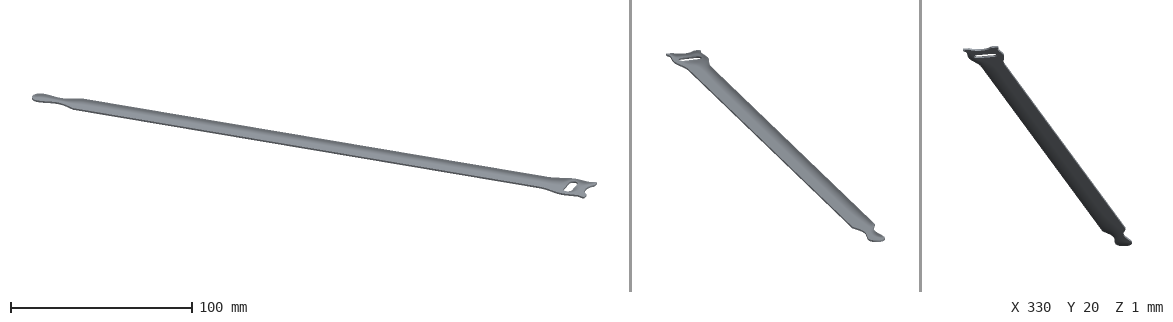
import cadquery as cq
import math

length = 330.0
thickness = 1.0
band_half_width = 6.5

tab_half_width = 4.5
neck_half_width = 3.0
neck_x = 15.5
band_start_x = 26.5

band_end_x = 302.0
head_half_width = 10.0
head_widest_x = 317.5
waist_half_width = 9.0
waist_x = 326.5
horn_inner_half_width = 6.3
horn_start_x = 328.5
end_notch_depth = 3.0

slot_x = 318.0
slot_length = 13.2
slot_width = 5.0

along_x = (1, 0)
tab_shoulder_slope = (5, 2)


def strap_half():
    """Half of the strap on the +Y side of its centre line."""
    notch_radius = (horn_inner_half_width**2 + end_notch_depth**2) / (2 * end_notch_depth)
    notch_angle = math.asin(horn_inner_half_width / notch_radius) / 2
    notch_mid = (
        length - end_notch_depth + notch_radius * (1 - math.cos(notch_angle)),
        notch_radius * math.sin(notch_angle),
    )
    arc_mid = tab_half_width * math.sin(math.pi / 4)
    return (
        cq.Workplane("XY")
        .moveTo(0, 0)
        .threePointArc((tab_half_width - arc_mid, arc_mid), (tab_half_width, tab_half_width))
        .spline([(neck_x, neck_half_width)],
                tangents=[along_x, along_x], includeCurrent=True)
        .spline([(band_start_x, band_half_width)],
                tangents=[along_x, tab_shoulder_slope], includeCurrent=True)
        .lineTo(band_end_x, band_half_width)
        .spline([(head_widest_x, head_half_width)],
                tangents=[along_x, along_x], includeCurrent=True)
        .spline([(waist_x, waist_half_width)],
                tangents=[along_x, along_x], includeCurrent=True)
        .lineTo(horn_start_x, head_half_width)
        .lineTo(length, head_half_width)
        .lineTo(length, horn_inner_half_width)
        .threePointArc(notch_mid, (length - end_notch_depth, 0))
        .close()
        .extrude(thickness)
    )


half = strap_half()
strap = half.union(half.mirror("XZ"))

slot = (
    cq.Workplane("XY")
    .center(slot_x, 0)
    .slot2D(slot_length, slot_width, 90)
    .extrude(thickness)
)

result = strap.cut(slot)